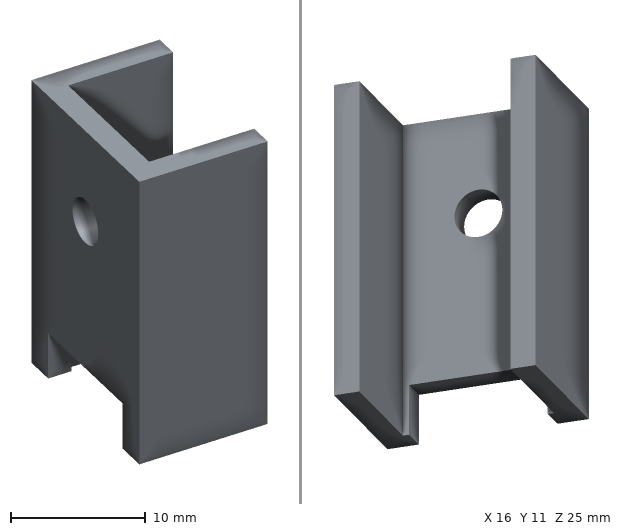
import cadquery as cq

width = 16.0
depth = 11.0
height = 25.0
wall = 2.0

hole_diameter = 3.8
hole_below_top = 8.0

notch_width = 11.0
notch_height = 4.0


def make_channel():
    """Upright U channel: web on the -Y side, open towards +Y."""
    block = cq.Workplane("XY").box(width, depth, height, centered=(True, False, False))
    inside = (
        cq.Workplane("XY")
        .box(width - 2 * wall, depth - wall, height, centered=(True, False, False))
        .translate((0, wall, 0))
    )
    return block.cut(inside)


def make_hole():
    """Cylinder along Y that pierces the web only."""
    return (
        cq.Workplane("XZ", origin=(0, 0, height - hole_below_top))
        .circle(hole_diameter / 2)
        .extrude(-wall)
    )


def make_notch():
    """Rectangular opening through the web at its bottom edge."""
    return cq.Workplane("XY").box(notch_width, wall, notch_height, centered=(True, False, False))


result = make_channel().cut(make_hole()).cut(make_notch())